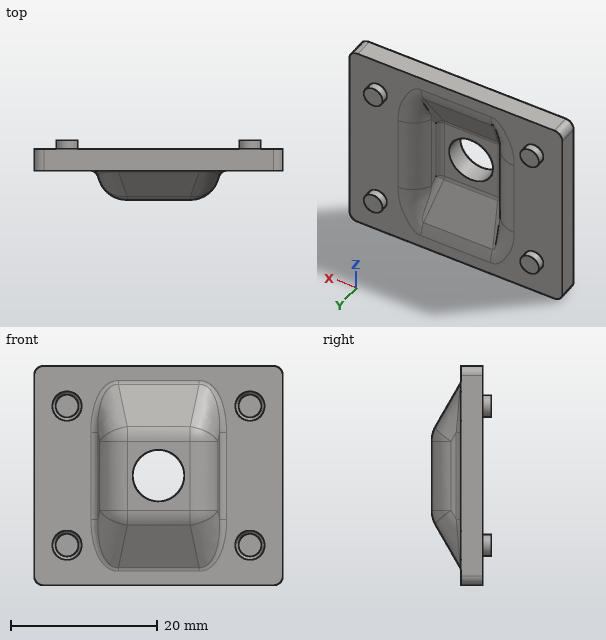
import cadquery as cq
import math

plate_width = 34.0
plate_height = 30.0
wall_thickness = 3.0
plate_corner_radius = 1.3

hood_height = 4.0
hood_base_width = 17.15
hood_base_height = 25.5
side_wall_draft = math.radians(20)
end_wall_draft = math.radians(60)
inner_bend_radius = 1.02
outer_bend_radius = inner_bend_radius + wall_thickness
bore_diameter = 7.0

fixing_spacing_x = 25.0
fixing_spacing_z = 19.0
dimple_mouth_diameter = 4.0
dimple_floor_diameter = 3.1
dimple_depth = 1.2
peg_diameter = 3.0
peg_length = 1.2

rear_plane = cq.Workplane("XZ")
front_plane = cq.Workplane("XZ", origin=(0, -wall_thickness, 0))


def at_fixings(plane):
    return plane.rect(fixing_spacing_x, fixing_spacing_z, forConstruction=True).vertices()


def make_plate():
    slab = rear_plane.rect(plate_width, plate_height).extrude(wall_thickness)
    return slab.edges("|Y").fillet(plate_corner_radius)


def make_hood_form(plane, base_width, base_height, edge_radius):
    """Tapered block with its sloping corners and top edges rounded."""
    top_width = base_width - 2 * hood_height * math.tan(side_wall_draft)
    top_height = base_height - 2 * hood_height * math.tan(end_wall_draft)
    block = (
        plane.rect(base_width, base_height)
        .workplane(offset=hood_height)
        .rect(top_width, top_height)
        .loft(ruled=True)
    )
    return block.edges("not >Y").fillet(edge_radius)


def inner_base_size(outer_size, draft):
    """Base size of the cavity that leaves the wall thickness at a drafted wall."""
    inset = wall_thickness / math.cos(draft) - wall_thickness * math.tan(draft)
    return outer_size - 2 * inset


def round_foot(body, face_y, base_width, base_height, radius):
    """Round the outline where a hood surface meets the plate face at face_y."""
    margin = 0.17
    foot_zone = cq.selectors.BoxSelector(
        (-base_width / 2 - margin, face_y - margin, -base_height / 2 - margin),
        (base_width / 2 + margin, face_y + margin, base_height / 2 + margin),
        boundingbox=True,
    )
    return body.edges(foot_zone).fillet(radius)


def add_hood(body):
    outer = make_hood_form(front_plane, hood_base_width, hood_base_height, outer_bend_radius)
    body = body.union(outer)
    return round_foot(body, -wall_thickness, hood_base_width, hood_base_height, inner_bend_radius)


def cut_cavity(body):
    """Hollow the hood from behind, leaving a wall as thick as the plate."""
    cavity_width = inner_base_size(hood_base_width, side_wall_draft)
    cavity_height = inner_base_size(hood_base_height, end_wall_draft)
    cavity = make_hood_form(rear_plane, cavity_width, cavity_height, inner_bend_radius)
    body = body.cut(cavity)
    return round_foot(body, 0, cavity_width, cavity_height, outer_bend_radius)


def make_pegs():
    return at_fixings(rear_plane).circle(peg_diameter / 2).extrude(-peg_length)


def make_dimples():
    """Conical recesses that narrow towards a flat floor."""
    taper = math.degrees(math.atan((dimple_mouth_diameter - dimple_floor_diameter) / 2 / dimple_depth))
    return at_fixings(front_plane).circle(dimple_mouth_diameter / 2).extrude(-dimple_depth, taper=taper)


def make_bore():
    return rear_plane.circle(bore_diameter / 2).extrude(wall_thickness + hood_height)


body = cut_cavity(add_hood(make_plate()))
result = body.union(make_pegs()).cut(make_dimples()).cut(make_bore())